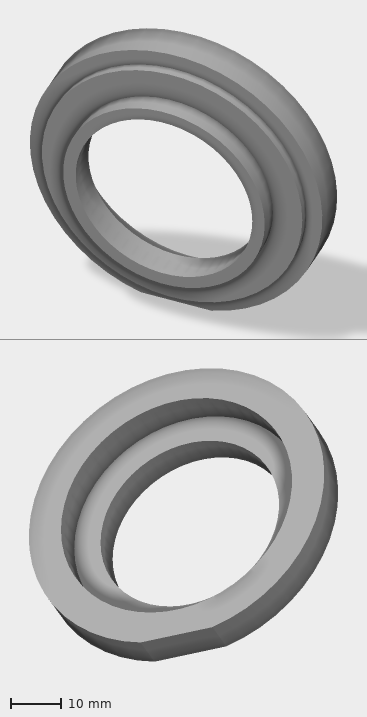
import cadquery as cq

flange_diameter = 62.95
step_diameter = 56.0
spigot_diameter = 43.4
bore_diameter = 38.0
recess_diameter = 49.2

total_depth = 13.7
flange_depth = 7.55
spigot_depth = 4.15
step_depth = total_depth - flange_depth - spigot_depth

bore_depth = 6.55
recess_depth = total_depth - bore_depth

height_across_flat = 62.0
flat_z = flange_diameter / 2 - height_across_flat


def disc(diameter, front_y, depth):
    """Solid disc growing from front_y toward +Y."""
    plane = cq.Workplane("XZ", origin=(0, front_y, 0))
    return plane.circle(diameter / 2).extrude(-depth)


spigot = disc(spigot_diameter, 0, spigot_depth)
step = disc(step_diameter, spigot_depth, step_depth)
flange = disc(flange_diameter, spigot_depth + step_depth, flange_depth)

above_flat = cq.Workplane("XY", origin=(0, 0, flat_z)).box(
    flange_diameter, 2 * total_depth, flange_diameter, centered=(True, True, False)
)
flange = flange.intersect(above_flat)

bore = disc(bore_diameter, 0, bore_depth)
recess = disc(recess_diameter, bore_depth, recess_depth)

result = spigot.union(step).union(flange).cut(bore).cut(recess)